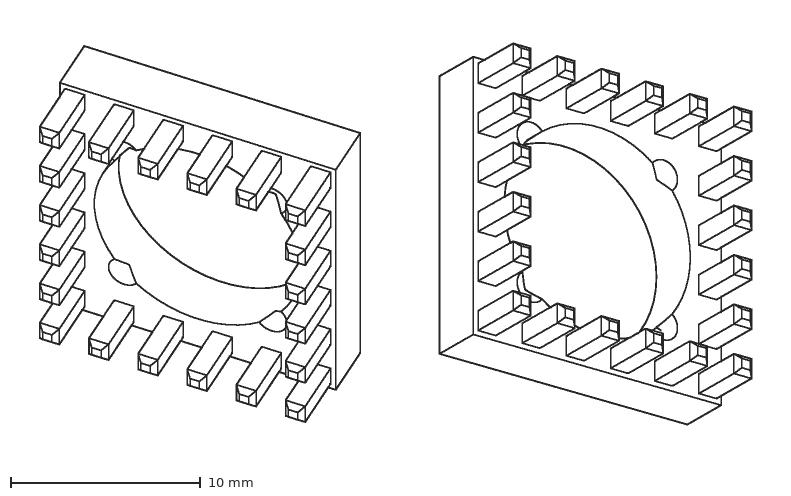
import cadquery as cq

FRAME_SIDE = 16.0
FRAME_THICKNESS = 3.1
BORE_DIAMETER = 12.0

PINS_PER_SIDE = 6
PIN_PITCH = 2.85
PIN_WIDTH = 1.14
PIN_LENGTH = 3.5
TIP_LENGTH = 0.3
TIP_WIDTH = PIN_WIDTH - 2 * TIP_LENGTH

DIMPLE_DIAMETER = 1.8
DIMPLE_DEPTH = 0.6
DIMPLE_OFFSET = 1.5 * PIN_PITCH

TOTAL_DEPTH = FRAME_THICKNESS + PIN_LENGTH
BACK_Y = TOTAL_DEPTH / 2
PIN_FACE_Y = BACK_Y - FRAME_THICKNESS
INTO_FRAME = cq.Vector(0, 1, 0)


def make_frame():
    """Square plate with a round bore through its thickness."""
    return (
        cq.Workplane("XZ", origin=(0, BACK_Y, 0))
        .rect(FRAME_SIDE, FRAME_SIDE)
        .circle(BORE_DIAMETER / 2)
        .extrude(FRAME_THICKNESS)
    )


def pin_centers():
    """(x, z) places of the pins: the outer ring of a square grid."""
    last = PINS_PER_SIDE - 1
    first_center = -PIN_PITCH * last / 2
    return [
        (first_center + column * PIN_PITCH, first_center + row * PIN_PITCH)
        for column in range(PINS_PER_SIDE)
        for row in range(PINS_PER_SIDE)
        if column in (0, last) or row in (0, last)
    ]


def make_pin(x, z):
    """Square pin standing on the pin-side face, with a pyramidal tip."""
    return (
        cq.Workplane("XZ", origin=(x, PIN_FACE_Y, z))
        .rect(PIN_WIDTH, PIN_WIDTH)
        .extrude(PIN_LENGTH - TIP_LENGTH)
        .faces("<Y")
        .workplane()
        .rect(PIN_WIDTH, PIN_WIDTH)
        .workplane(offset=TIP_LENGTH)
        .rect(TIP_WIDTH, TIP_WIDTH)
        .loft(ruled=True, combine=True)
    )


def make_dimple(x, z):
    """Cone with its base on the pin-side face and its point in the frame."""
    base_center = cq.Vector(x, PIN_FACE_Y, z)
    return cq.Solid.makeCone(DIMPLE_DIAMETER / 2, 0, DIMPLE_DEPTH, base_center, INTO_FRAME)


result = make_frame()

for dimple_x in (-DIMPLE_OFFSET, DIMPLE_OFFSET):
    for dimple_z in (-DIMPLE_OFFSET, DIMPLE_OFFSET):
        result = result.cut(cq.Workplane(make_dimple(dimple_x, dimple_z)))

for pin_x, pin_z in pin_centers():
    result = result.union(make_pin(pin_x, pin_z))